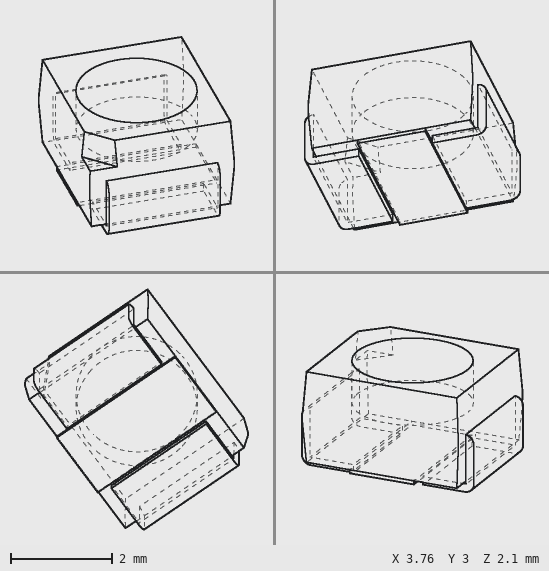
import cadquery as cq
import math

OVERALL_LENGTH = 3.76
BODY_WIDTH = 3.0
OVERALL_HEIGHT = 2.1

LEAD_THICKNESS = 0.175
LEAD_WIDTH = 2.3
LEAD_TOP = 1.225
LEAD_BEND_RADIUS = 0.2
FOOT_LENGTH = 1.12

BODY_LENGTH = OVERALL_LENGTH - 2 * LEAD_THICKNESS
BODY_BOTTOM = LEAD_THICKNESS
BAND_BOTTOM = 1.053
BAND_TOP = 1.205
TAPER_INSET = 0.06

CORNER_LEG = 0.6
CORNER_DEPTH = 0.6

LENS_DIAMETER = 2.4
LENS_DEPTH = OVERALL_HEIGHT - BAND_TOP
PAD_LENGTH = 1.4
PAD_WIDTH = BODY_WIDTH - 2 * TAPER_INSET
PAD_THICKNESS = 0.08


def make_tapered_half(large_end, small_end):
    """Frustum from the full body outline to the outline reduced by the taper inset."""
    return (
        cq.Workplane("XY", origin=(0, 0, large_end))
        .rect(BODY_LENGTH, BODY_WIDTH)
        .workplane(offset=small_end - large_end)
        .rect(BODY_LENGTH - 2 * TAPER_INSET, BODY_WIDTH - 2 * TAPER_INSET)
        .loft(ruled=True)
    )


def make_corner_cut():
    """Triangular prism that removes the +X, -Y corner of the top."""
    corner_x = BODY_LENGTH / 2
    corner_y = -BODY_WIDTH / 2
    return (
        cq.Workplane("XY", origin=(0, 0, OVERALL_HEIGHT - CORNER_DEPTH))
        .moveTo(corner_x, corner_y)
        .lineTo(corner_x, corner_y + CORNER_LEG)
        .lineTo(corner_x - CORNER_LEG, corner_y)
        .close()
        .extrude(CORNER_DEPTH)
    )


def make_lens():
    """Round lens, flush with the top of the housing."""
    return (
        cq.Workplane("XY", origin=(0, 0, OVERALL_HEIGHT - LENS_DEPTH))
        .circle(LENS_DIAMETER / 2)
        .extrude(LENS_DEPTH)
    )


def make_housing():
    """Tapered housing with the marked corner and a recess for the lens."""
    band = (
        cq.Workplane("XY", origin=(0, 0, BAND_BOTTOM))
        .rect(BODY_LENGTH, BODY_WIDTH)
        .extrude(BAND_TOP - BAND_BOTTOM)
    )
    upper = make_tapered_half(BAND_TOP, OVERALL_HEIGHT)
    lower = make_tapered_half(BAND_BOTTOM, BODY_BOTTOM)
    return band.union(upper).union(lower).cut(make_corner_cut()).cut(make_lens())


def make_lead():
    """Lead on the -X side: an upright leg with rounded outer bends and a foot under the housing."""
    outer_x = -OVERALL_LENGTH / 2
    inner_x = outer_x + LEAD_THICKNESS
    foot_end = outer_x + FOOT_LENGTH
    radius = LEAD_BEND_RADIUS
    bend_x = outer_x + radius
    upper_bend_z = LEAD_TOP - radius
    tip_angle = math.acos((bend_x - inner_x) / radius)
    tip_z = upper_bend_z + radius * math.sin(tip_angle)
    upper_mid_angle = tip_angle / 2
    lower_mid_angle = math.pi / 4
    upper_mid = (bend_x - radius * math.cos(upper_mid_angle), upper_bend_z + radius * math.sin(upper_mid_angle))
    lower_mid = (bend_x - radius * math.cos(lower_mid_angle), radius - radius * math.sin(lower_mid_angle))
    return (
        cq.Workplane("XZ")
        .moveTo(foot_end, 0)
        .lineTo(bend_x, 0)
        .threePointArc(lower_mid, (outer_x, radius))
        .lineTo(outer_x, upper_bend_z)
        .threePointArc(upper_mid, (inner_x, tip_z))
        .lineTo(inner_x, LEAD_THICKNESS)
        .lineTo(foot_end, LEAD_THICKNESS)
        .close()
        .extrude(LEAD_WIDTH / 2, both=True)
    )


def make_pad():
    """Flat pad on the underside, between the lead feet."""
    return (
        cq.Workplane("XY", origin=(0, 0, BODY_BOTTOM - PAD_THICKNESS))
        .rect(PAD_LENGTH, PAD_WIDTH)
        .extrude(PAD_THICKNESS)
    )


housing = make_housing()
lens = make_lens()
pad = make_pad()
leads = []
for turn in (0, 180):
    leads.append(make_lead().rotate((0, 0, 0), (0, 0, 1), turn).val())

result = cq.Compound.makeCompound([housing.val(), lens.val(), pad.val(), *leads])